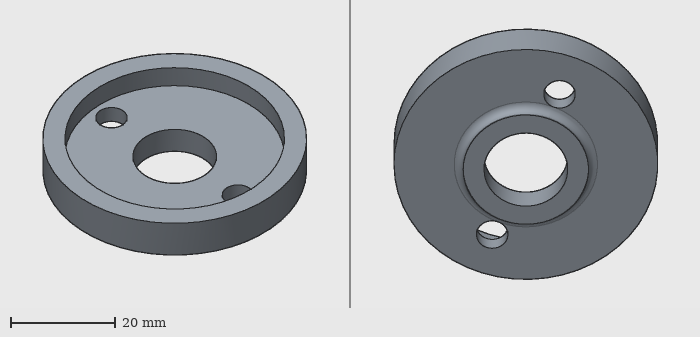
import cadquery as cq

outer_diameter = 50.5
disc_height = 8.0
recess_diameter = 42.0
recess_depth = 4.5

hub_diameter = 24.0
hub_height = 2.0
hub_fillet = 1.7

bore_diameter = 16.0
pin_hole_diameter = 6.0
pin_hole_spacing = 33.4

disc = cq.Workplane("XY").circle(outer_diameter / 2).extrude(disc_height)
hub = cq.Workplane("XY").circle(hub_diameter / 2).extrude(-hub_height)

hub_joint = cq.selectors.RadiusNthSelector(0)
body = disc.union(hub)
body = body.faces("<Z[1]").edges(hub_joint).fillet(hub_fillet)

recess = (
    cq.Workplane("XY")
    .workplane(offset=disc_height - recess_depth)
    .circle(recess_diameter / 2)
    .extrude(recess_depth)
)

through_holes = (
    cq.Workplane("XY")
    .workplane(offset=-hub_height)
    .circle(bore_diameter / 2)
    .pushPoints([(-pin_hole_spacing / 2, 0), (pin_hole_spacing / 2, 0)])
    .circle(pin_hole_diameter / 2)
    .extrude(hub_height + disc_height)
)

result = body.cut(recess).cut(through_holes)